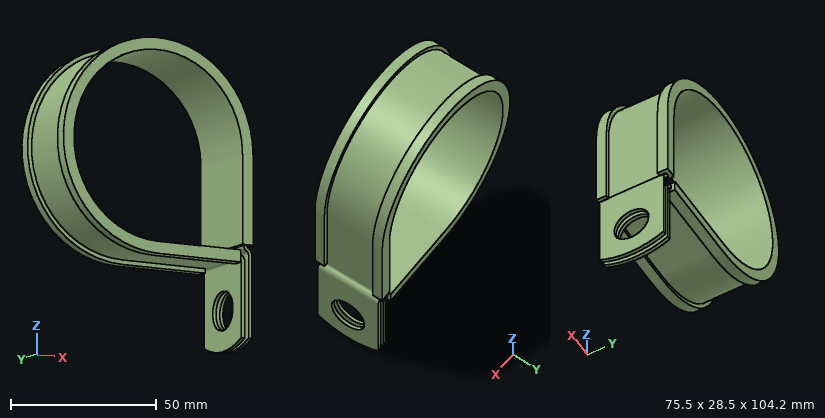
import cadquery as cq
import math

outer_radius = 37.6
cushion_thickness = 4.3
cushion_width = 28.5
side_leg_length = 31.4
bottom_leg_length = 32.7

groove_depth = 1.6
groove_width = 20.3

strap_thickness = 1.4
tab_width = 25.5
tab_bottom = -66.6
tab_end_sagitta = 3.0
inner_tab_face = 35.1
outer_tab_face = 37.9
jog_height = 3.0
hole_diameter = 13.7
hole_height = -52.3

inner_radius = outer_radius - cushion_thickness
strap_outer_radius = outer_radius - groove_depth
strap_inner_radius = strap_outer_radius - strap_thickness


def extrude_centred(profile, width):
    """Extrude an XZ profile equally to both sides of the Y = 0 plane."""
    return profile.extrude(width / 2, both=True)


def loop(outside, inside, width):
    """Three-quarter ring continued tangentially by the side and bottom legs."""
    diagonal = math.sqrt(0.5)
    profile = (
        cq.Workplane("XZ")
        .moveTo(outside, -side_leg_length)
        .lineTo(outside, 0)
        .threePointArc((-outside * diagonal, outside * diagonal), (0, -outside))
        .lineTo(bottom_leg_length, -outside)
        .lineTo(bottom_leg_length, -inside)
        .lineTo(0, -inside)
        .threePointArc((-inside * diagonal, inside * diagonal), (inside, 0))
        .lineTo(inside, -side_leg_length)
        .close()
    )
    return extrude_centred(profile, width)


def arc_point(centre, radius, angle):
    return (centre[0] + radius * math.cos(angle), centre[1] + radius * math.sin(angle))


def inner_tab():
    """Tab turned down from the end of the bottom leg by a quarter bend."""
    bend_outer = inner_tab_face - bottom_leg_length
    bend_inner = bend_outer - strap_thickness
    centre = (bottom_leg_length, -strap_inner_radius - bend_outer)
    profile = (
        cq.Workplane("XZ")
        .moveTo(bottom_leg_length, -strap_inner_radius)
        .threePointArc(arc_point(centre, bend_outer, math.pi / 4), (inner_tab_face, centre[1]))
        .lineTo(inner_tab_face, tab_bottom)
        .lineTo(inner_tab_face - strap_thickness, tab_bottom)
        .lineTo(inner_tab_face - strap_thickness, centre[1])
        .threePointArc(
            arc_point(centre, bend_inner, math.pi / 4),
            (bottom_leg_length, -strap_outer_radius),
        )
        .close()
    )
    return extrude_centred(profile, tab_width)


def outer_tab():
    """Tab continuing the side leg, offset outward by two equal and opposite bends."""
    offset = outer_tab_face - strap_outer_radius
    middle_radius = (offset**2 + jog_height**2) / (4 * offset)
    turn = math.asin(jog_height / (2 * middle_radius))
    small = middle_radius - strap_thickness / 2
    large = middle_radius + strap_thickness / 2
    upper_centre = (strap_outer_radius + small, -side_leg_length)
    lower_centre = (outer_tab_face - large, -side_leg_length - jog_height)
    profile = (
        cq.Workplane("XZ")
        .moveTo(strap_outer_radius, -side_leg_length)
        .threePointArc(
            arc_point(upper_centre, small, math.pi + turn / 2),
            arc_point(upper_centre, small, math.pi + turn),
        )
        .threePointArc(
            arc_point(lower_centre, large, turn / 2),
            (outer_tab_face, lower_centre[1]),
        )
        .lineTo(outer_tab_face, tab_bottom)
        .lineTo(outer_tab_face - strap_thickness, tab_bottom)
        .lineTo(outer_tab_face - strap_thickness, lower_centre[1])
        .threePointArc(
            arc_point(lower_centre, small, turn / 2),
            arc_point(lower_centre, small, turn),
        )
        .threePointArc(
            arc_point(upper_centre, large, math.pi + turn / 2),
            (strap_inner_radius, -side_leg_length),
        )
        .close()
    )
    return extrude_centred(profile, tab_width)


def tab_outline():
    """Rounded-end tab silhouette with its bolt hole, extruded along X."""
    half_width = tab_width / 2
    corner_height = tab_bottom + tab_end_sagitta
    silhouette = (
        cq.Workplane("YZ")
        .moveTo(-half_width, 0)
        .lineTo(-half_width, corner_height)
        .threePointArc((0, tab_bottom), (half_width, corner_height))
        .lineTo(half_width, 0)
        .close()
        .extrude(outer_tab_face)
    )
    hole = (
        cq.Workplane("YZ")
        .center(0, hole_height)
        .circle(hole_diameter / 2)
        .extrude(outer_tab_face)
    )
    return silhouette.cut(hole)


cushion = loop(outer_radius, inner_radius, cushion_width)
groove = loop(outer_radius, strap_outer_radius, groove_width)
tabs = inner_tab().union(outer_tab()).intersect(tab_outline())

result = cushion.cut(groove).union(tabs)